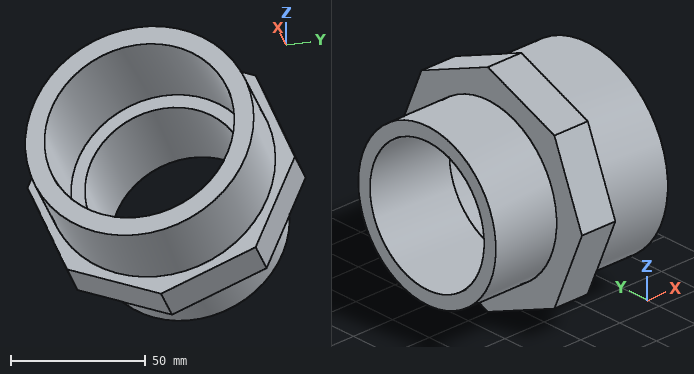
import cadquery as cq

total_length = 82.0
collar_across_corners = 102.8
collar_sides = 8

narrow_length = 31.1
collar_width = 17.1
wide_length = total_length - narrow_length - collar_width

narrow_outer_diameter = 75.2
narrow_bore_diameter = 62.3
wide_outer_diameter = 87.9
wide_bore_diameter = 73.0
wide_bore_depth = 41.4


def cylinder_along_x(start, length, diameter):
    """Solid cylinder centred on the X axis."""
    return cq.Workplane("YZ", origin=(start, 0, 0)).circle(diameter / 2).extrude(length)


narrow_socket = cylinder_along_x(0, narrow_length + collar_width, narrow_outer_diameter)
wide_socket = cylinder_along_x(narrow_length, collar_width + wide_length, wide_outer_diameter)
collar = (
    cq.Workplane("YZ", origin=(narrow_length, 0, 0))
    .polygon(collar_sides, collar_across_corners)
    .extrude(collar_width)
)
body = narrow_socket.union(collar).union(wide_socket)

through_bore = cylinder_along_x(0, total_length, narrow_bore_diameter)
wide_bore = cylinder_along_x(total_length - wide_bore_depth, wide_bore_depth, wide_bore_diameter)

result = body.cut(through_bore).cut(wide_bore)